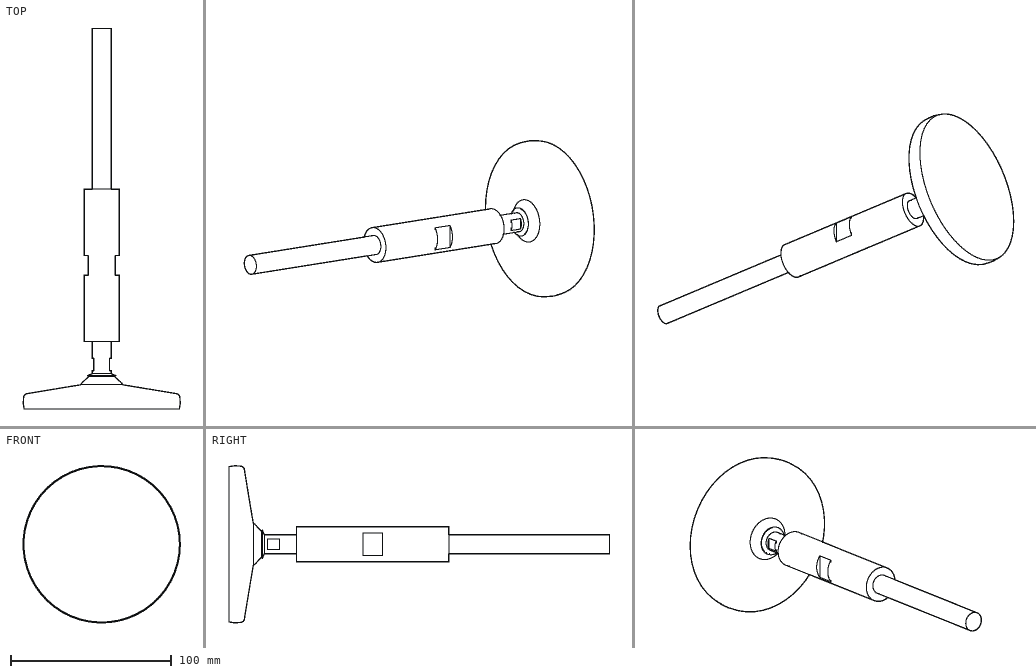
import cadquery as cq


total_length = 237.0

foot_diameter = 98.0
sole_diameter = 96.8
rim_top_diameter = 97.5
rim_widest_height = 3.6
rim_top_height = 7.2
shoulder_radius = 46.6
shoulder_height = 9.7
neck_base_radius = 13.3
neck_base_height = 15.2
neck_middle_radius = 12.1
neck_middle_height = 16.6
neck_top_radius = 8.2
neck_top_height = 20.2
lip_radius = 8.9
lip_height = 20.8
foot_height = 22.1

spindle_diameter = 12.0
spindle_bottom = 12.0
spindle_flat_width = 10.0
spindle_flat_bottom = 24.0
spindle_flat_top = 31.6

sleeve_diameter = 22.0
sleeve_length = 95.0
exposed_rod_length = 100.0
sleeve_flat_width = 17.0
sleeve_flat_length = 12.0
sleeve_top = total_length - exposed_rod_length
sleeve_bottom = sleeve_top - sleeve_length
sleeve_middle = (sleeve_bottom + sleeve_top) / 2


def cylinder(diameter, start, end):
    """Cylinder on the Y axis between two heights."""
    radius = diameter / 2
    base = cq.Vector(0, start, 0)
    axis = cq.Vector(0, 1, 0)
    return cq.Workplane(cq.Solid.makeCylinder(radius, end - start, base, axis))


def cut_wrench_flats(body, diameter, width, start, end):
    """Cut two opposite flats, facing -X and +X, between two heights."""
    depth = (diameter - width) / 2
    for side in (-1, 1):
        cutter = (
            cq.Workplane()
            .box(depth, end - start, diameter)
            .translate((side * (width + depth) / 2, (start + end) / 2, 0))
        )
        body = body.cut(cutter)
    return body


def make_foot():
    rim_top_radius = rim_top_diameter / 2
    profile = (
        cq.Workplane("XY")
        .lineTo(sole_diameter / 2, 0)
        .lineTo(foot_diameter / 2, rim_widest_height)
        .lineTo(rim_top_radius, rim_top_height)
        .tangentArcPoint((shoulder_radius, shoulder_height), relative=False)
        .lineTo(neck_base_radius, neck_base_height)
        .lineTo(neck_middle_radius, neck_middle_height)
        .lineTo(neck_top_radius, neck_top_height)
        .lineTo(lip_radius, lip_height)
        .lineTo(spindle_diameter / 2, foot_height)
        .lineTo(0, foot_height)
        .close()
    )
    foot = profile.revolve(360, (0, 0, 0), (0, 1, 0))
    socket = cylinder(spindle_diameter, spindle_bottom, foot_height)
    return foot.cut(socket)


def make_spindle():
    rod = cylinder(spindle_diameter, spindle_bottom, total_length)
    return cut_wrench_flats(rod, spindle_diameter, spindle_flat_width, spindle_flat_bottom, spindle_flat_top)


def make_sleeve():
    tube = cylinder(sleeve_diameter, sleeve_bottom, sleeve_top)
    tube = tube.cut(cylinder(spindle_diameter, sleeve_bottom, sleeve_top))
    flat_bottom = sleeve_middle - sleeve_flat_length / 2
    flat_top = sleeve_middle + sleeve_flat_length / 2
    return cut_wrench_flats(tube, sleeve_diameter, sleeve_flat_width, flat_bottom, flat_top)


foot = make_foot()
spindle = make_spindle()
sleeve = make_sleeve()

result = cq.Compound.makeCompound([foot.val(), spindle.val(), sleeve.val()])